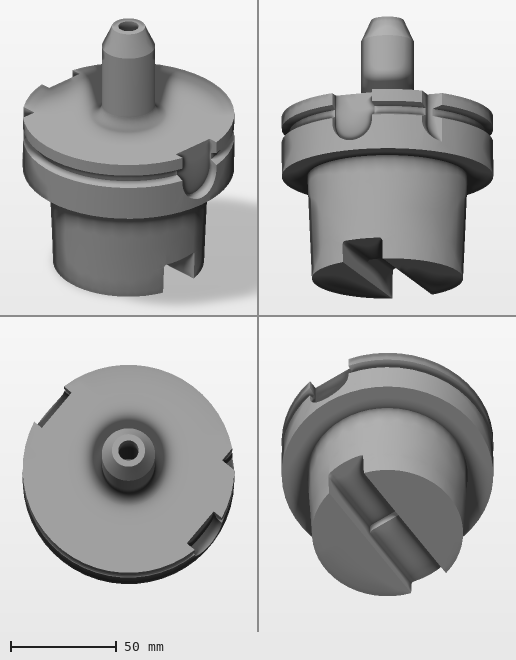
import cadquery as cq

total_height = 126.2
flange_bottom = 50.0
groove_lower_lip = 66.6
groove_floor_bottom = 68.3
groove_floor_top = 71.7
groove_upper_lip = 73.2
flange_top = 79.0
nose_start = 115.7

flange_radius = 50.0
groove_radius = 46.3
shank_top_radius = 37.9
shank_bottom_radius = 35.7
stem_radius = 12.6
nose_radius = 7.8
stem_fillet = 5.0
bore_radius = 4.8
bore_depth = total_height - flange_top

key_floor = 44.0
key_round_height = 64.7
left_key_radius = 10.0
right_key_radius = 11.0
notch_radius = left_key_radius
notch_floor = 31.4
notch_wall = 31.4

slot_width = 2 * left_key_radius
left_slot_height = 10.1
right_slot_height = 15.0
slot_corner_radius = 1.5


def turned_body():
    """Revolve the tapered shank, grooved flange and stem about Z."""
    profile = (
        cq.Workplane("XZ")
        .lineTo(shank_bottom_radius, 0)
        .lineTo(shank_top_radius, flange_bottom)
        .lineTo(flange_radius, flange_bottom)
        .lineTo(flange_radius, groove_lower_lip)
        .lineTo(groove_radius, groove_floor_bottom)
        .lineTo(groove_radius, groove_floor_top)
        .lineTo(flange_radius, groove_upper_lip)
        .lineTo(flange_radius, flange_top)
        .lineTo(stem_radius + stem_fillet, flange_top)
        .radiusArc((stem_radius, flange_top + stem_fillet), stem_fillet)
        .lineTo(stem_radius, nose_start)
        .lineTo(nose_radius, total_height)
        .lineTo(0, total_height)
        .close()
    )
    return profile.revolve(360, (0, 0, 0), (0, 1, 0))


def keyway_cutter(center_y, radius, floor_distance, side):
    """Slot running outward along X from its floor; side is -1 for -X and 1 for +X."""
    return (
        cq.Workplane("YZ", origin=(side * floor_distance, center_y, 0))
        .moveTo(-radius, flange_top)
        .lineTo(-radius, key_round_height)
        .threePointArc((0, key_round_height - radius), (radius, key_round_height))
        .lineTo(radius, flange_top)
        .close()
        .extrude(side * flange_radius)
    )


def driving_slot_cutter(height, side):
    """Slot from the axis outward along X, with rounded upper corners."""
    return (
        cq.Workplane("XY")
        .box(flange_radius, slot_width, height, centered=(False, True, False))
        .edges("|X and >Z")
        .fillet(slot_corner_radius)
        .rotate((0, 0, 0), (0, 0, 1), 0 if side > 0 else 180)
    )


bore_cutter = (
    cq.Workplane("XY", origin=(0, 0, total_height))
    .circle(bore_radius)
    .extrude(-bore_depth)
)

result = (
    turned_body()
    .cut(bore_cutter)
    .cut(keyway_cutter(0, left_key_radius, key_floor, -1))
    .cut(keyway_cutter(0, right_key_radius, key_floor, 1))
    .cut(keyway_cutter(-notch_wall - notch_radius, notch_radius, notch_floor, -1))
    .cut(driving_slot_cutter(left_slot_height, -1))
    .cut(driving_slot_cutter(right_slot_height, 1))
)